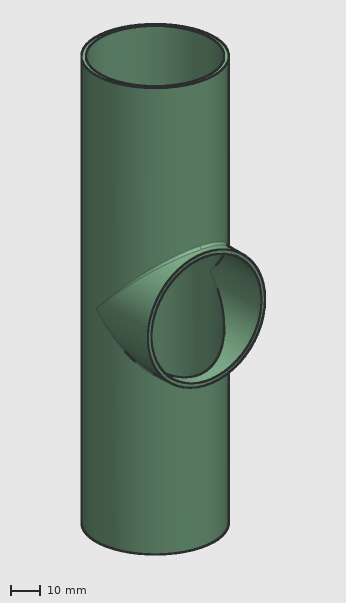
import cadquery as cq

outer_diameter = 50.7
bore_diameter = 47.5
run_length = 178.0
overall_width = 54.5
crotch_fillet = 1.0
branch_reach = overall_width - outer_diameter / 2


def tee_cylinders(diameter):
    """Run along Z and branch along +X, both of the given diameter, joined at mid-height."""
    run = cq.Workplane("XY").circle(diameter / 2).extrude(run_length / 2, both=True)
    branch = cq.Workplane("YZ").circle(diameter / 2).extrude(branch_reach)
    return run.union(branch)


outer_body = tee_cylinders(outer_diameter)
joint_edges = outer_body.edges("%ELLIPSE or %BSPLINE")
outer_body = joint_edges.fillet(crotch_fillet)

result = outer_body.cut(tee_cylinders(bore_diameter))